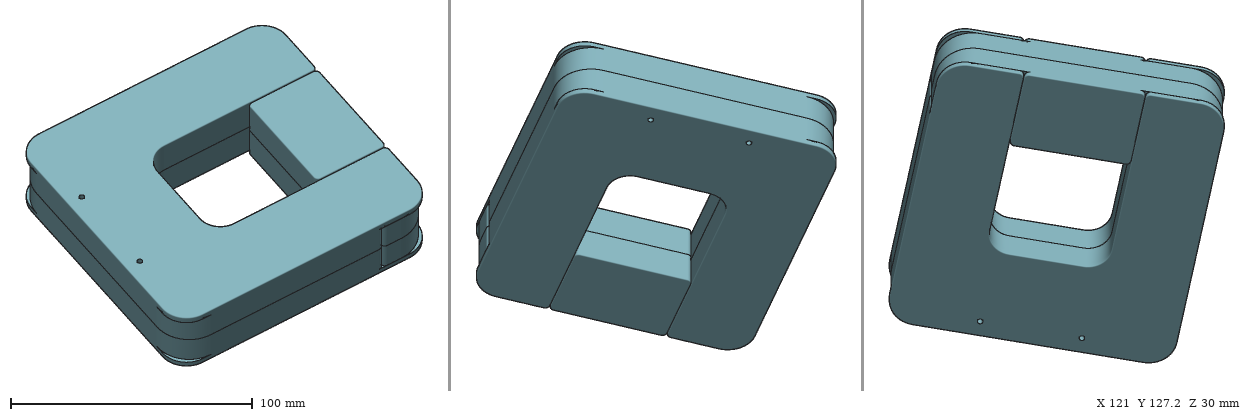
import cadquery as cq

WIDTH = 121.0
DEPTH = 127.2
HEIGHT = 30.0
HALF_HEIGHT = HEIGHT / 2
BACK_Y = DEPTH / 2
FRONT_Y = -DEPTH / 2

PLATE_THICKNESS = 2.7
WALL_HEIGHT = HALF_HEIGHT - PLATE_THICKNESS
PLATE_CORNER_RADIUS = 12.0
WALL_CORNER_RADIUS = 16.0
EDGE_RADIUS = 0.5

SLOT_WIDTH = 51.4
SLOT_DEPTH = 86.2
SLOT_CORNER_RADIUS = 10.0
SLOT_END_Y = BACK_Y - SLOT_DEPTH
MOUTH_RADIUS = 2.0

SLOT_CLEARANCE = 0.3
TONGUE_WIDTH = SLOT_WIDTH - 2 * SLOT_CLEARANCE
TONGUE_LENGTH = 34.7
TONGUE_CORNER_RADIUS = 2.0
WING_DEPTH = 25.0
JOINT_Y = BACK_Y - WING_DEPTH
JOINT_RADIUS = 2.0

HOLE_DIAMETER = 2.3
HOLE_SPACING = 42.9
HOLE_Y = FRONT_Y + 7.0


def box_between(width, y_min, y_max, z_min, z_max):
    """Box centred on X = 0 that spans the given Y and Z ranges."""
    return (
        cq.Workplane("XY", origin=(0, (y_min + y_max) / 2, z_min))
        .rect(width, y_max - y_min)
        .extrude(z_max - z_min)
    )


def slot_cutter():
    """Slot through the full height of a half; it runs past the back face to stay open there."""
    overrun = SLOT_DEPTH
    return (
        box_between(SLOT_WIDTH, SLOT_END_Y, BACK_Y + overrun, 0, HALF_HEIGHT)
        .edges("|Z and <Y")
        .fillet(SLOT_CORNER_RADIUS)
    )


def yoke_plate():
    """U-shaped cover plate with a rounded outer rim."""
    plate = box_between(WIDTH, FRONT_Y, BACK_Y, WALL_HEIGHT, HALF_HEIGHT)
    plate = plate.edges("|Z").fillet(PLATE_CORNER_RADIUS)
    plate = plate.cut(slot_cutter())
    mouth_edges = cq.selectors.BoxSelector(
        (-SLOT_WIDTH / 2 - MOUTH_RADIUS, BACK_Y - MOUTH_RADIUS, 0),
        (SLOT_WIDTH / 2 + MOUTH_RADIUS, BACK_Y + MOUTH_RADIUS, HALF_HEIGHT),
    )
    plate = plate.edges("|Z").edges(mouth_edges).fillet(MOUTH_RADIUS)
    return plate.faces(">Z").edges().fillet(EDGE_RADIUS)


def yoke_wall():
    """U-shaped wall that stops at the joint with the keeper wings."""
    wall = box_between(WIDTH, FRONT_Y, JOINT_Y, 0, WALL_HEIGHT)
    wall = wall.edges("|Z and <Y").fillet(WALL_CORNER_RADIUS)
    wall = wall.edges("|Z and >Y").fillet(JOINT_RADIUS)
    return wall.cut(slot_cutter())


def holes():
    """Pair of holes through the full height of a half."""
    return (
        cq.Workplane("XY")
        .pushPoints([(-HOLE_SPACING / 2, HOLE_Y), (HOLE_SPACING / 2, HOLE_Y)])
        .circle(HOLE_DIAMETER / 2)
        .extrude(HALF_HEIGHT)
    )


def make_yoke_half():
    """Upper half of the yoke: plate and wall in one body."""
    return yoke_plate().union(yoke_wall(), clean=False).cut(holes(), clean=False)


def tongue(z_min, z_max):
    """Rounded block that fills the mouth of the slot, with clearance on both sides."""
    block = box_between(TONGUE_WIDTH, BACK_Y - TONGUE_LENGTH, BACK_Y, z_min, z_max)
    return block.edges("|Z").fillet(TONGUE_CORNER_RADIUS)


def keeper_wings():
    """Full-width bar under the yoke plate, behind the ends of the legs."""
    wings = box_between(WIDTH, JOINT_Y, BACK_Y, 0, WALL_HEIGHT)
    wings = wings.edges("|Z and >Y").fillet(WALL_CORNER_RADIUS)
    return wings.edges("|Z and <Y").fillet(JOINT_RADIUS)


def make_keeper_half():
    """Upper half of the keeper: wings, tongue and tongue plate in one body."""
    wall = keeper_wings().union(tongue(0, WALL_HEIGHT))
    plate = tongue(WALL_HEIGHT, HALF_HEIGHT).faces(">Z").edges().fillet(EDGE_RADIUS)
    return wall.union(plate, clean=False)


upper_yoke = make_yoke_half()
lower_yoke = upper_yoke.mirror("XY")
upper_keeper = make_keeper_half()
lower_keeper = upper_keeper.mirror("XY")

result = cq.Compound.makeCompound(
    [upper_yoke.val(), lower_yoke.val(), upper_keeper.val(), lower_keeper.val()]
)